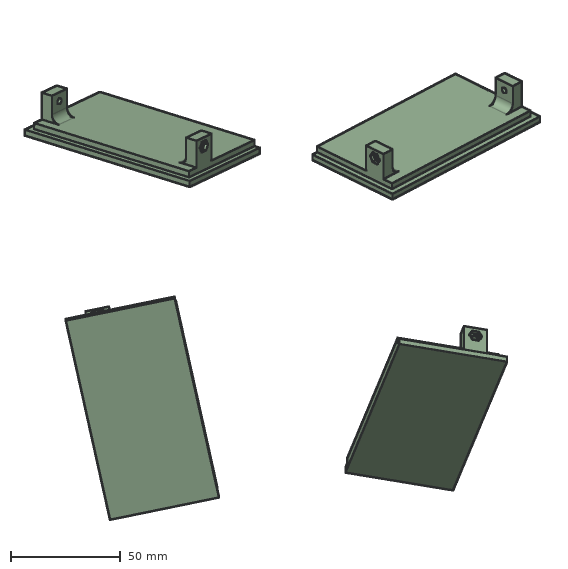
import cadquery as cq

base_length = 96.7
base_width = 50.8
base_height = 3.0

end_inset = 3.0
front_inset = 3.2
panel_height = 3.0

total_height = 19.2
lug_thickness = 6.0
lug_width = 10.9
lug_front_gap = 5.4
lug_fillet = 4.0

hole_diameter = 2.8
hole_below_top = 4.4
nut_across_corners = 5.9
nut_depth = 2.0

panel_length = base_length - 2 * end_inset
panel_width = base_width - front_inset
panel_top = base_height + panel_height
panel_end = panel_length / 2
lug_inner_face = panel_end - lug_thickness
lug_foot = lug_inner_face - lug_fillet
lug_front = -panel_width + lug_front_gap
lug_center_y = lug_front + lug_width / 2
hole_z = total_height - hole_below_top


def make_plate():
    base = cq.Workplane("XY").box(base_length, base_width, base_height, centered=(True, False, False))
    base = base.translate((0, -base_width, 0))
    panel = cq.Workplane("XY").box(panel_length, panel_width, panel_top, centered=(True, False, False))
    return base.union(panel.translate((0, -panel_width, 0)))


def make_lug():
    """Right-hand lug with a concave fillet at its inner foot."""
    fillet_diagonal = lug_fillet * 0.5**0.5
    arc_middle = (lug_foot + fillet_diagonal, panel_top + lug_fillet - fillet_diagonal)
    lug = (
        cq.Workplane("XZ", origin=(0, lug_front, 0))
        .moveTo(panel_end, base_height)
        .lineTo(panel_end, total_height)
        .lineTo(lug_inner_face, total_height)
        .lineTo(lug_inner_face, panel_top + lug_fillet)
        .threePointArc(arc_middle, (lug_foot, panel_top))
        .lineTo(lug_foot, base_height)
        .close()
        .extrude(-lug_width)
    )
    outer_face = cq.Workplane("YZ", origin=(panel_end, lug_center_y, hole_z))
    hole = outer_face.circle(hole_diameter / 2).extrude(-lug_thickness)
    nut_pocket = outer_face.polygon(6, nut_across_corners).extrude(-nut_depth)
    return lug.cut(hole).cut(nut_pocket)


right_lug = make_lug()
left_lug = right_lug.mirror("YZ")
result = make_plate().union(right_lug).union(left_lug)